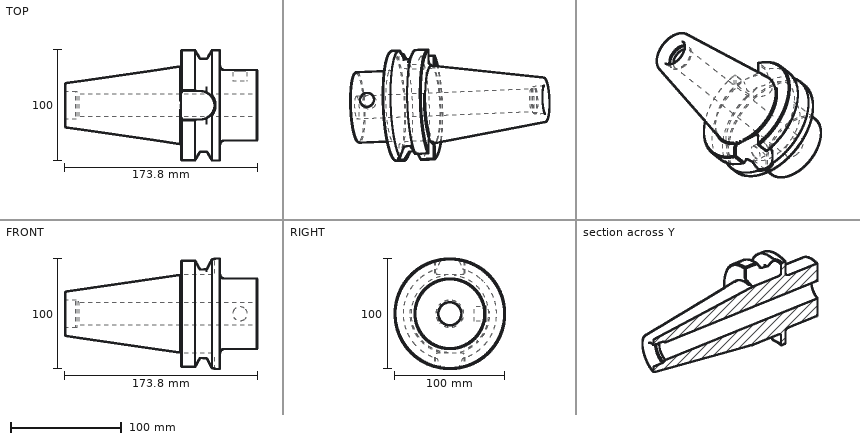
import cadquery as cq
import math

TOTAL_LENGTH = 173.8
TAPER_LENGTH = 101.8
FLANGE_FRONT_X = 104.8
FLANGE_BACK_X = 140.0
GROOVE_CENTRE_X = 125.0
GROOVE_FLOOR_WIDTH = 6.3

GAUGE_DIAMETER = 69.9
FLANGE_DIAMETER = 100.0
GROOVE_FLOOR_DIAMETER = 84.1
NOSE_DIAMETER = 64.0
TAPER_RATIO = 7 / 24
GROOVE_FLANK_ANGLE = math.radians(30)

TIP_ROUND = 1.5
NECK_FILLET = 1.0
FLANGE_CHAMFER = 0.9
GROOVE_FILLET = 1.0
NOSE_FILLET = 3.5
NOSE_CHAMFER = 0.9

BORE_DIAMETER = 20.7
SOCKET_DIAMETER = 25.0
SOCKET_DEPTH = 9.5
SOCKET_MOUTH_ROUND = 1.4
COUNTERSINK_X = 10.6
COUNTERSINK_DIAMETER = 24.7

SLOT_WIDTH = 25.7
SLOT_FLOOR_Z = 35.5
SLOT_END_CENTRE_X = 122.0
SLOT_FLOOR_FILLET = 2.0
SLOT_EDGE_CHAMFER = 1.0
SLOT_OVERRUN = 1.7

SCREW_DIAMETER = 12.9
SCREW_LENGTH = 10.0
SCREW_X = 158.0

FLANGE_RADIUS = FLANGE_DIAMETER / 2
NOSE_RADIUS = NOSE_DIAMETER / 2
SLOT_SIDES = (1, -1)
TOLERANCE = 0.02


def revolve_about_x(profile):
    return profile.close().revolve(360, (0, 0, 0), (1, 0, 0))


def ring_at(x, radius):
    """Select the circular edge around the X axis with this place and radius."""
    outer = radius + TOLERANCE
    inner = radius - TOLERANCE
    within = cq.selectors.BoxSelector(
        (x - TOLERANCE, -outer, -outer), (x + TOLERANCE, outer, outer), boundingbox=True
    )
    smaller = cq.selectors.BoxSelector(
        (x - TOLERANCE, -inner, -inner), (x + TOLERANCE, inner, inner), boundingbox=True
    )
    return within - smaller


def make_outer_shape():
    gauge_radius = GAUGE_DIAMETER / 2
    tip_radius = gauge_radius - TAPER_LENGTH * TAPER_RATIO / 2
    groove_radius = GROOVE_FLOOR_DIAMETER / 2
    half_floor = GROOVE_FLOOR_WIDTH / 2
    half_mouth = half_floor + (FLANGE_RADIUS - groove_radius) * math.tan(GROOVE_FLANK_ANGLE)
    profile = (
        cq.Workplane("XZ")
        .lineTo(0, tip_radius)
        .lineTo(TAPER_LENGTH, gauge_radius)
        .lineTo(FLANGE_FRONT_X, gauge_radius)
        .lineTo(FLANGE_FRONT_X, FLANGE_RADIUS)
        .lineTo(GROOVE_CENTRE_X - half_mouth, FLANGE_RADIUS)
        .lineTo(GROOVE_CENTRE_X - half_floor, groove_radius)
        .lineTo(GROOVE_CENTRE_X + half_floor, groove_radius)
        .lineTo(GROOVE_CENTRE_X + half_mouth, FLANGE_RADIUS)
        .lineTo(FLANGE_BACK_X, FLANGE_RADIUS)
        .lineTo(FLANGE_BACK_X, NOSE_RADIUS)
        .lineTo(TOTAL_LENGTH, NOSE_RADIUS)
        .lineTo(TOTAL_LENGTH, 0)
    )
    shape = revolve_about_x(profile)
    shape = shape.edges(ring_at(0, tip_radius)).fillet(TIP_ROUND)
    shape = shape.edges(ring_at(FLANGE_FRONT_X, gauge_radius)).fillet(NECK_FILLET)
    shape = shape.edges(ring_at(FLANGE_BACK_X, NOSE_RADIUS)).fillet(NOSE_FILLET)
    for side in (-1, 1):
        corner = ring_at(GROOVE_CENTRE_X + side * half_floor, groove_radius)
        shape = shape.edges(corner).fillet(GROOVE_FILLET)
    shape = shape.edges(ring_at(FLANGE_FRONT_X, FLANGE_RADIUS)).chamfer(FLANGE_CHAMFER)
    shape = shape.edges(ring_at(FLANGE_BACK_X, FLANGE_RADIUS)).chamfer(FLANGE_CHAMFER)
    return shape.edges(ring_at(TOTAL_LENGTH, NOSE_RADIUS)).chamfer(NOSE_CHAMFER)


def make_bore():
    """Through bore with a wider socket at the taper end and a countersink between them."""
    bore_radius = BORE_DIAMETER / 2
    socket_radius = SOCKET_DIAMETER / 2
    countersink_radius = COUNTERSINK_DIAMETER / 2
    profile = (
        cq.Workplane("XZ")
        .lineTo(0, socket_radius + SOCKET_MOUTH_ROUND)
        .radiusArc((SOCKET_MOUTH_ROUND, socket_radius), -SOCKET_MOUTH_ROUND)
        .lineTo(SOCKET_DEPTH, socket_radius)
        .lineTo(SOCKET_DEPTH, countersink_radius)
        .lineTo(COUNTERSINK_X, countersink_radius)
        .lineTo(COUNTERSINK_X + countersink_radius - bore_radius, bore_radius)
        .lineTo(TOTAL_LENGTH, bore_radius)
        .lineTo(TOTAL_LENGTH, 0)
    )
    return revolve_about_x(profile)


def make_slot():
    """Round-ended drive slot on the +Z side, flared where it leaves the flange face."""
    half_width = SLOT_WIDTH / 2
    mouth_x = FLANGE_FRONT_X - SLOT_OVERRUN
    mouth_half_width = half_width + SLOT_EDGE_CHAMFER + SLOT_OVERRUN
    slot = (
        cq.Workplane("XY", origin=(0, 0, SLOT_FLOOR_Z))
        .moveTo(mouth_x, -mouth_half_width)
        .lineTo(FLANGE_FRONT_X + SLOT_EDGE_CHAMFER, -half_width)
        .lineTo(SLOT_END_CENTRE_X, -half_width)
        .threePointArc((SLOT_END_CENTRE_X + half_width, 0), (SLOT_END_CENTRE_X, half_width))
        .lineTo(FLANGE_FRONT_X + SLOT_EDGE_CHAMFER, half_width)
        .lineTo(mouth_x, mouth_half_width)
        .close()
        .extrude(FLANGE_RADIUS)
    )
    return slot.faces("<Z").edges("not <X").fillet(SLOT_FLOOR_FILLET)


def is_slot_rim(edge):
    """Tell whether an edge is where a slot wall meets the outside of the flange."""
    half_width = SLOT_WIDTH / 2
    rim_height = math.sqrt(FLANGE_RADIUS**2 - half_width**2)
    box = edge.BoundingBox()
    lowest = min(abs(box.zmin), abs(box.zmax))
    on_one_side = box.zmin * box.zmax > 0
    beside_slot = max(abs(box.ymin), abs(box.ymax)) < half_width + TOLERANCE
    off_seam = abs(edge.Center().y) + box.ylen > TOLERANCE
    behind_face = box.xmin > FLANGE_FRONT_X + SLOT_EDGE_CHAMFER - TOLERANCE
    return on_one_side and beside_slot and off_seam and behind_face and lowest > rim_height - TOLERANCE


def break_slot_rims(shape):
    rims = [edge for edge in shape.edges().vals() if is_slot_rim(edge)]
    return shape.newObject(rims).chamfer(SLOT_EDGE_CHAMFER)


def make_screw():
    """Flat-ended screw that fills a blind radial hole on the +Y side of the nose."""
    return (
        cq.Workplane("XZ", origin=(SCREW_X, NOSE_RADIUS, 0))
        .circle(SCREW_DIAMETER / 2)
        .extrude(SCREW_LENGTH)
    )


def make_holder(screw):
    holder = make_outer_shape().cut(make_bore())
    for side in SLOT_SIDES:
        slot = make_slot()
        if side < 0:
            slot = slot.mirror("XY")
        holder = holder.cut(slot)
    return break_slot_rims(holder.cut(screw))


screw = make_screw()
holder = make_holder(screw)
result = cq.Compound.makeCompound([holder.val(), screw.val()])